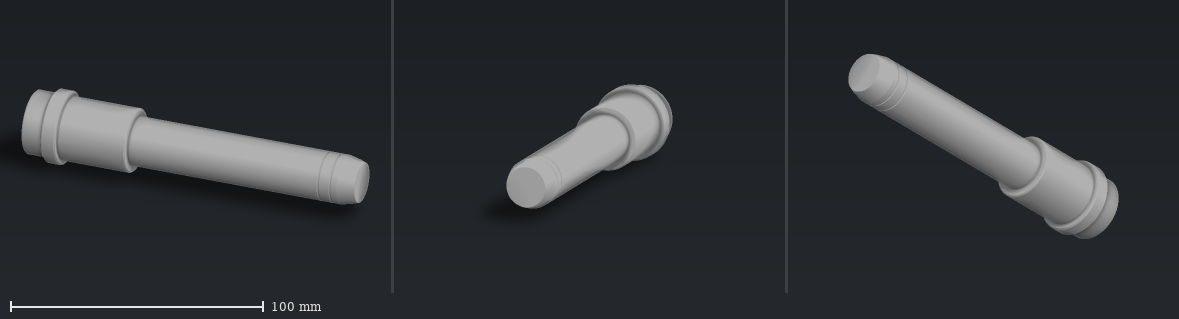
import cadquery as cq

total_length = 140.0
head_diameter = 26.0
collar_diameter = 30.0
shank_diameter = 20.0
tip_diameter = 16.2
nose_bulge = 0.21

collar_start = 9.0
collar_end = 15.0
body_end = 44.0
nose_start = 133.0

end_chamfer = 0.5
collar_chamfer = 0.5

front_relief_width = 1.3
rear_relief_width = 0.8
relief_depth = 0.4
root_relief_width = 0.5
root_relief_depth = 0.3

shank_groove_starts = (124.6, 129.6)
shank_groove_width = 1.0
shank_groove_depth = 0.4


def cylinder(start, end, diameter):
    """Solid cylinder on the X axis between two X positions."""
    return cq.Workplane("YZ").workplane(offset=start).circle(diameter / 2).extrude(end - start)


def ring_groove(start, width, diameter, depth):
    """Cutting ring for an arc-shaped groove in a cylinder of the given diameter."""
    radius = diameter / 2
    profile = (
        cq.Workplane("XY")
        .moveTo(start, radius)
        .threePointArc((start + width / 2, radius - depth), (start + width, radius))
        .close()
    )
    return profile.revolve(360, (0, 0, 0), (1, 0, 0))


def make_head():
    """Chamfered head cylinder with a relief groove on each side of the collar."""
    head = cylinder(0, body_end, head_diameter).faces("<X or >X").chamfer(end_chamfer)
    front_start = collar_start - front_relief_width
    head = head.cut(ring_groove(front_start, front_relief_width, head_diameter, relief_depth))
    return head.cut(ring_groove(collar_end, rear_relief_width, head_diameter, relief_depth))


def make_collar():
    """Collar with both rims chamfered."""
    collar = cylinder(collar_start, collar_end, collar_diameter)
    return collar.faces("<X or >X").chamfer(collar_chamfer)


def make_shank():
    """Long shank with a root relief and two ring grooves."""
    shank = cylinder(body_end, nose_start, shank_diameter)
    shank = shank.cut(ring_groove(body_end, root_relief_width, shank_diameter, root_relief_depth))
    for groove_start in shank_groove_starts:
        shank = shank.cut(
            ring_groove(groove_start, shank_groove_width, shank_diameter, shank_groove_depth)
        )
    return shank


def make_nose():
    """Nose narrowing from the shank to the tip, its side bulging slightly outward."""
    shank_radius = shank_diameter / 2
    tip_radius = tip_diameter / 2
    side_middle = ((nose_start + total_length) / 2, (shank_radius + tip_radius) / 2 + nose_bulge)
    profile = (
        cq.Workplane("XY")
        .moveTo(nose_start, 0)
        .lineTo(nose_start, shank_radius)
        .threePointArc(side_middle, (total_length, tip_radius))
        .lineTo(total_length, 0)
        .close()
    )
    return profile.revolve(360, (0, 0, 0), (1, 0, 0))


result = make_head().union(make_collar()).union(make_shank()).union(make_nose())